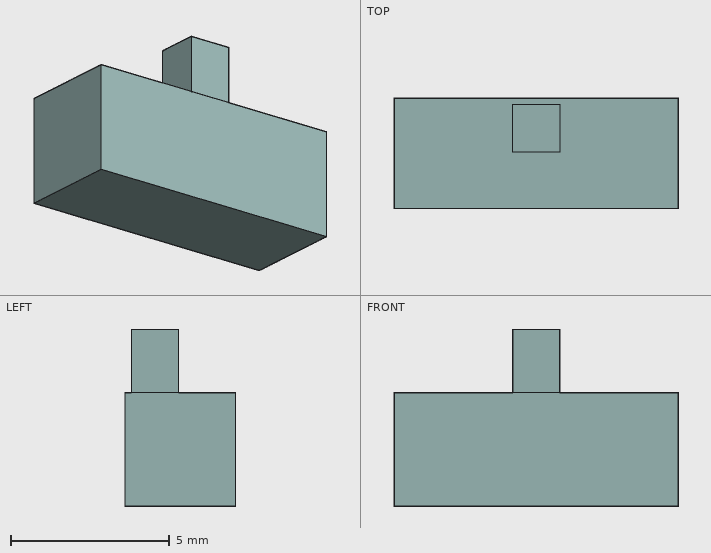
import cadquery as cq

body_length = 9.0
body_width = 3.5
body_height = 3.6

post_side = 1.5
post_height = 2.0
post_back_gap = 0.2
post_center_y = body_width / 2 - post_back_gap - post_side / 2


def make_body():
    """Plain block centred in X and Y, resting on Z = 0."""
    return cq.Workplane("XY").box(body_length, body_width, body_height, centered=(True, True, False))


def make_post():
    """Square post on top of the body, centred in X and set towards +Y."""
    return (
        cq.Workplane("XY", origin=(0, post_center_y, body_height))
        .rect(post_side, post_side)
        .extrude(post_height)
    )


result = make_body().union(make_post())